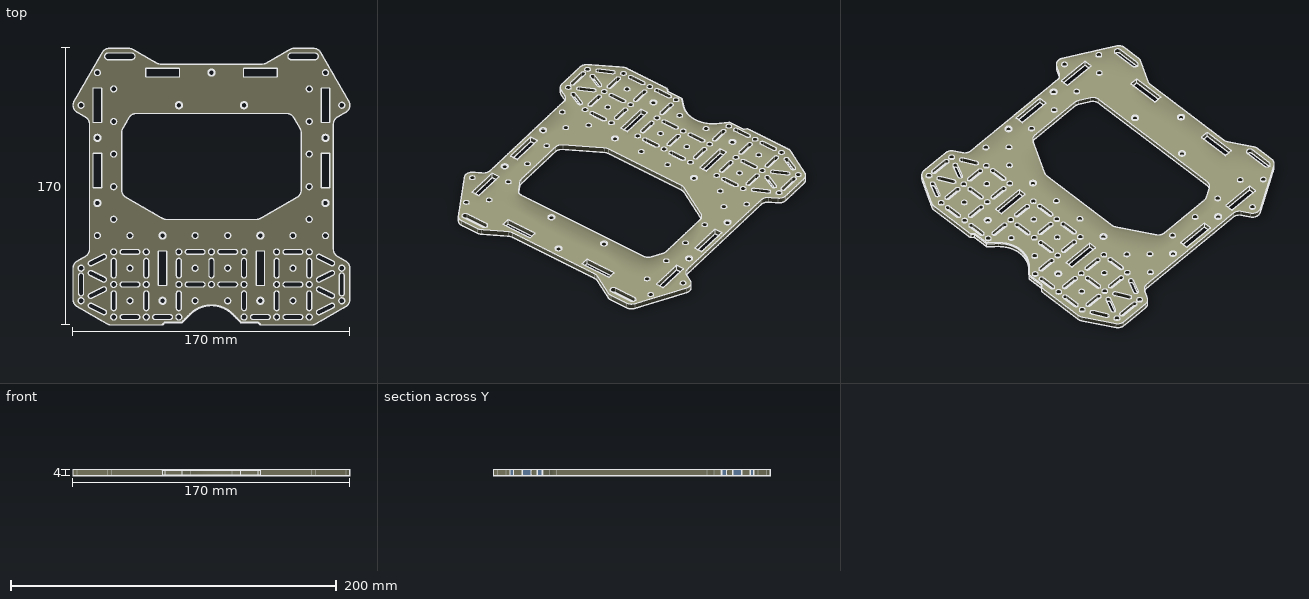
import cadquery as cq
import math

thickness = 4.0
plate_half = 85.0
waist_half = 74.9
rear_edge_y = 75.3
corner_radius = 5.0
window_radius = 5.0

pitch = 20.0
hole_dia = 3.5
insert_dia = 3.4
insert_chamfer = 0.5
slot_width = 2.9
grid_slot_length = 12.0
front_lobe_slot_length = 14.0

lobe_centre = plate_half - corner_radius
rear_tip = (lobe_centre, 50.0)
rear_inner = (50.7, lobe_centre)
front_upper = (lobe_centre, -50.0)
front_lower = (lobe_centre, -70.0)
front_edge_half = 62.7

recess_half = 30.0
recess_y = -83.5
recess_arc_radius = 18.0
recess_arc_y = -91.0
recess_chamfer = 0.5

window_half = 55.0
window_rear = 44.9
window_front = -20.0
window_rear_cut_y = 34.6
window_front_cut_y = -5.0

side_slot = (5.2, 21.0)
rear_slot = (20.5, 5.2)
front_slot = (5.0, 21.0)
rear_strap_centre = (30.0, 70.0)
front_strap_centre = (30.0, -50.0)
side_strap_centres = ((70.0, 50.0), (70.0, 10.0))
rear_lobe_slot_centre = (56.25, lobe_centre)
rear_lobe_slot_length = 18.5
rear_lobe_slot_width = 4.0


def line(normal_angle, point, offset=0.0):
    """Line with the given outward normal, moved outward from a point by an offset."""
    angle = math.radians(normal_angle)
    nx = math.cos(angle)
    ny = math.sin(angle)
    return nx, ny, nx * point[0] + ny * point[1] + offset


def corners(lines):
    """Points where each line meets the next one."""
    points = []
    for (ax, ay, ad), (bx, by, bd) in zip(lines, lines[1:]):
        det = ax * by - ay * bx
        points.append(((ad * by - bd * ay) / det, (ax * bd - bx * ad) / det))
    return points


def mirrored_prism(right_points, radius):
    """Full-thickness prism from the right half of a symmetric outline, corners rounded."""
    left_points = [(-x, y) for x, y in reversed(right_points)]
    outline = cq.Workplane("XY").polyline(right_points + left_points).close()
    return outline.extrude(thickness / 2, both=True).edges("|Z").fillet(radius)


def outer_plate():
    """Plate with four corner lobes, before any cuts."""
    right_points = corners([
        line(90, (0, rear_edge_y)),
        line(120, rear_inner, corner_radius),
        line(90, (0, plate_half)),
        line(30, rear_tip, corner_radius),
        line(-60, rear_tip, corner_radius),
        line(0, (waist_half, 0)),
        line(60, front_upper, corner_radius),
        line(0, (plate_half, 0)),
        line(-60, (front_edge_half, -plate_half)),
        line(-90, (0, -plate_half)),
    ])
    return mirrored_prism(right_points, corner_radius)


def window():
    """Cutter for the large opening with four slanted corners."""
    right_points = corners([
        line(90, (0, window_rear)),
        line(30, (window_half, window_rear_cut_y)),
        line(0, (window_half, 0)),
        line(-60, (window_half, window_front_cut_y)),
        line(-90, (0, window_front)),
    ])
    return mirrored_prism(right_points, window_radius)


def recess():
    """Shallow step with 45 degree ends and a central arc with 45 degree flanks."""
    step = plate_half + recess_y
    arc_x = recess_arc_radius * math.sin(math.radians(45))
    arc_y = recess_arc_y + arc_x
    mouth_x = arc_x + arc_y - recess_y
    return (
        cq.Workplane("XY")
        .moveTo(-recess_half, -plate_half)
        .lineTo(-recess_half + step, recess_y)
        .lineTo(-mouth_x, recess_y)
        .lineTo(-arc_x, arc_y)
        .threePointArc((0, recess_arc_y + recess_arc_radius), (arc_x, arc_y))
        .lineTo(mouth_x, recess_y)
        .lineTo(recess_half - step, recess_y)
        .lineTo(recess_half, -plate_half)
        .close()
        .extrude(thickness / 2, both=True)
    )


def chamfer_recess(plate):
    """Break the upper and lower edges of the recess."""
    margin = 0.1
    reach = recess_arc_y + 2 * recess_arc_radius
    zone = cq.selectors.BoxSelector(
        (-recess_half, -plate_half + margin, -thickness),
        (recess_half, reach, thickness),
    )
    return plate.faces("|Z").edges(zone).chamfer(recess_chamfer)


def both_sides(points):
    """Add the mirror image of every point that is off the centre line."""
    return points + [(-x, y) for x, y in points if x != 0]


def plain_holes():
    """Centres of the plain holes."""
    points = [rear_tip, (70, 70), (70, -30), (50, -30), (10, -30), front_upper, front_lower]
    points += [(60, y) for y in (60, 40, 20, 0, -20)]
    points += [(x, y) for x in (60, 40, 20) for y in (-40, -60, -80)]
    points += [(0, -40), (0, -60)]
    points += [(x, y) for x in (50, 10) for y in (-50, -70)]
    return both_sides(points)


def insert_holes():
    """Centres of the holes with a chamfered upper end."""
    return both_sides([(0, 70), (20, 50), (70, 30), (70, -10), (30, -30), (30, -70)])


def drill_holes(plate):
    """Drill the plain and the insert holes through the plate."""
    top = (0, 0, 0)
    drilled = plate.faces(">Z").workplane(origin=top).pushPoints(plain_holes()).hole(hole_dia)
    return drilled.faces(">Z").workplane(origin=top).pushPoints(insert_holes()).hole(insert_dia)


def insert_countersinks():
    """Cone cutters that chamfer the upper end of every insert hole."""
    radius = insert_dia / 2
    base = cq.Vector(0, 0, thickness / 2 - insert_chamfer)
    cone = cq.Solid.makeCone(radius, radius + insert_chamfer, insert_chamfer, base)
    return cq.Workplane("XY").pushPoints(insert_holes()).eachpoint(lambda place: cone.moved(place))


def slot_ends():
    """Pairs of grid holes that have a slot between them (right half)."""
    pairs = [((x, y), (x, y - pitch)) for x in (60, 40, 20) for y in (-40, -60)]
    pairs += [((x, y), (x + pitch, y)) for x in (0, 40) for y in (-40, -60)]
    pairs += [((x, -80), (x + pitch, -80)) for x in (20, 40)]
    for lobe_hole, ys in ((front_upper, (-40, -60)), (front_lower, (-60, -80))):
        pairs += [(lobe_hole, (60, y)) for y in ys]
    return pairs


def slot(centre, length, width, angle=0.0):
    """Through cutter with round ends."""
    return cq.Workplane("XY").center(*centre).slot2D(length, width, angle).extrude(thickness / 2, both=True)


def strap_slot(centre, size):
    """Rectangular through cutter."""
    return cq.Workplane("XY").center(*centre).rect(*size).extrude(thickness / 2, both=True)


def grid_slot(start, end):
    """Slot halfway between two holes, pointing from one to the other."""
    middle = ((start[0] + end[0]) / 2, (start[1] + end[1]) / 2)
    angle = math.degrees(math.atan2(end[1] - start[1], end[0] - start[0]))
    return slot(middle, grid_slot_length, slot_width, angle)


def right_slots():
    """Slot cutters of the right half."""
    cutters = [grid_slot(start, end) for start, end in slot_ends()]
    front_lobe_middle = (lobe_centre, (front_upper[1] + front_lower[1]) / 2)
    cutters.append(slot(front_lobe_middle, front_lobe_slot_length, slot_width, 90))
    cutters.append(slot(rear_lobe_slot_centre, rear_lobe_slot_length, rear_lobe_slot_width))
    cutters.append(strap_slot(rear_strap_centre, rear_slot))
    cutters.append(strap_slot(front_strap_centre, front_slot))
    cutters += [strap_slot(centre, side_slot) for centre in side_strap_centres]
    return cutters


def cut_slots(plate):
    """Cut the slots of both halves and the one on the centre line."""
    cutters = right_slots()
    cutters += [cutter.mirror("YZ") for cutter in cutters]
    cutters.append(grid_slot((0, -40), (0, -60)))
    return plate.cut(cq.Workplane(cq.Compound.makeCompound([cutter.val() for cutter in cutters])))


result = outer_plate().cut(window()).cut(recess())
result = chamfer_recess(result)
result = drill_holes(result)
result = result.cut(insert_countersinks())
result = cut_slots(result)